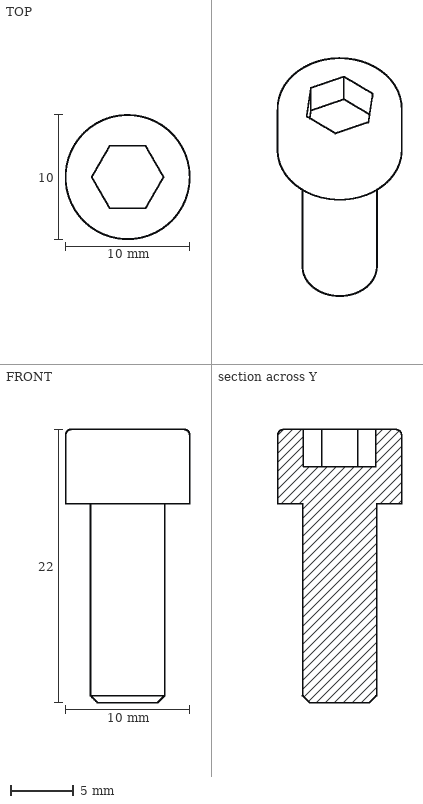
import cadquery as cq
import math

head_diameter = 10.0
head_height = 6.0
head_edge_radius = 0.5
shank_diameter = 6.0
shank_length = 16.0
tip_chamfer = 0.6
socket_across_flats = 5.0
socket_depth = 3.0
socket_sides = 6


def make_head():
    """Cylindrical head with a rounded top edge."""
    head = cq.Workplane("XY").circle(head_diameter / 2).extrude(head_height)
    return head.faces(">Z").edges().fillet(head_edge_radius)


def make_shank():
    """Plain shank hanging below the head, chamfered at its tip."""
    shank = cq.Workplane("XY").circle(shank_diameter / 2).extrude(-shank_length)
    return shank.faces("<Z").edges().chamfer(tip_chamfer)


def make_socket():
    """Hexagonal drive socket with two corners on the X axis."""
    across_corners = socket_across_flats / math.cos(math.pi / socket_sides)
    top = cq.Workplane("XY").workplane(offset=head_height)
    return top.polygon(socket_sides, across_corners).extrude(-socket_depth)


result = make_head().union(make_shank()).cut(make_socket())